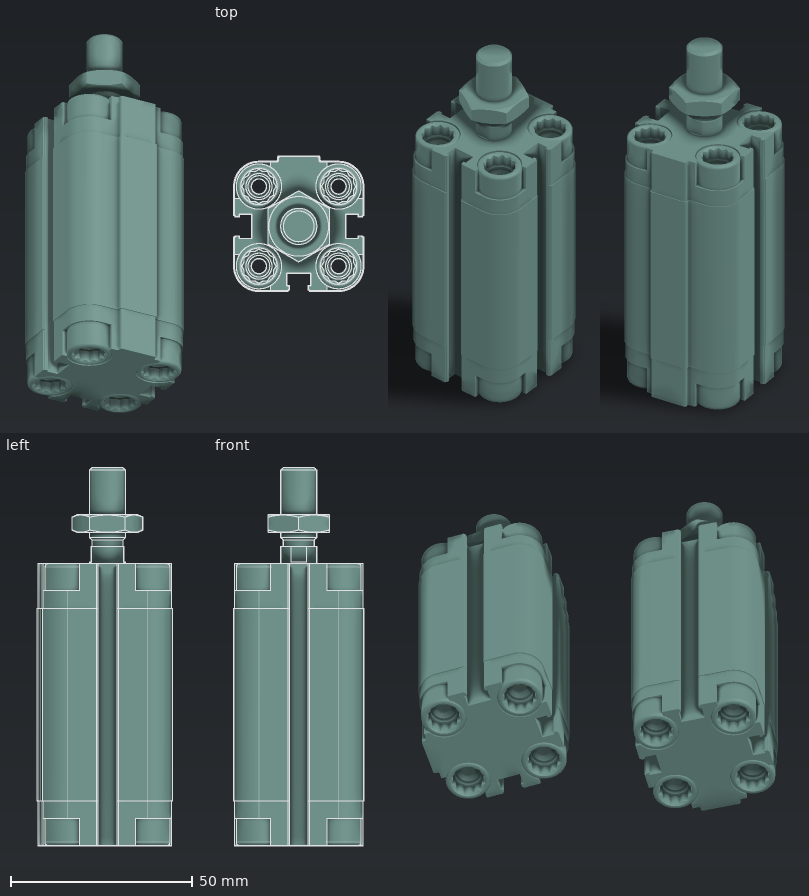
import cadquery as cq
import math


body_width = 36.0
body_height = 78.0
total_height = 104.5
cap_height = 12.4
cap_inset = 0.25

screw_offset = 11.0
collar_diameter = 12.5
collar_round = 1.0
collar_pocket_edge = 7.75
collar_pocket_depth = 7.5
socket_point_diameter = 9.45
socket_points = 12
socket_mouth_diameter = 10.0
socket_mouth_depth = 0.8
socket_depth = 3.6
socket_bore_diameter = 7.2
socket_bore_depth = 1.0
screw_cone_diameter = 6.0
screw_hole_diameter = 4.13

slot_mouth_width = 5.2
slot_inner_width = 6.6
slot_lip = 1.6
slot_depth = 5.0
slot_mouth_round = 0.4

ridge_width = 11.7
ridge_height = 1.5
ridge_round = 0.5

rod_diameter = 10.0
rod_tip_chamfer = 0.75
thread_length = 20.0
neck_diameter = 8.65
neck_length = 1.8
flats_width = 9.0
flats_clearance = 0.35

nut_width = 17.0
nut_height = 5.0
nut_tip_distance = 13.0
nut_chamfer_diameter = 16.5
nut_chamfer_angle = 25.0

half_width = body_width / 2
corner_radius = half_width - screw_offset
screw_places = [(x, y) for x in (-screw_offset, screw_offset) for y in (-screw_offset, screw_offset)]


def ridge(surface, half_ridge, height):
    """Ridge on a +Y face, with rounded top corners and hollow rounds at its foot."""
    r = ridge_round
    top = surface + ridge_height
    return (
        cq.Workplane("XY")
        .moveTo(-half_ridge - r, surface)
        .radiusArc((-half_ridge, surface + r), -r)
        .lineTo(-half_ridge, top - r)
        .radiusArc((-half_ridge + r, top), r)
        .lineTo(half_ridge - r, top)
        .radiusArc((half_ridge, top - r), r)
        .lineTo(half_ridge, surface + r)
        .radiusArc((half_ridge + r, surface), -r)
        .lineTo(half_ridge + r, surface - r)
        .lineTo(-half_ridge - r, surface - r)
        .close()
        .extrude(height)
    )


def t_slot(surface, height):
    """Cutter for a T-slot in a -Y face, with a rounded mouth."""
    r = slot_mouth_round
    half_mouth = slot_mouth_width / 2
    half_inner = slot_inner_width / 2
    lip_y = slot_lip - half_width
    floor_y = slot_depth - half_width
    return (
        cq.Workplane("XY")
        .moveTo(-half_mouth - r, -surface)
        .radiusArc((-half_mouth, r - surface), r)
        .lineTo(-half_mouth, lip_y)
        .lineTo(-half_inner, lip_y)
        .lineTo(-half_inner, floor_y)
        .lineTo(half_inner, floor_y)
        .lineTo(half_inner, lip_y)
        .lineTo(half_mouth, lip_y)
        .lineTo(half_mouth, r - surface)
        .radiusArc((half_mouth + r, -surface), r)
        .close()
        .extrude(height)
    )


def profile_section(inset, height):
    """Length of the housing profile, shrunk by an inset all round."""
    surface = half_width - inset
    section = (
        cq.Workplane("XY")
        .rect(2 * surface, 2 * surface)
        .extrude(height)
        .edges("|Z")
        .fillet(corner_radius - inset)
        .union(ridge(surface, ridge_width / 2 - inset, height))
    )
    for angle in (0, 90, -90):
        section = section.cut(t_slot(surface, height).rotate((0, 0, 0), (0, 0, 1), angle))
    return section


def collar_blank():
    """Round screw collar whose upper outer edge is rounded, standing on Z = 0."""
    return (
        cq.Workplane("XY")
        .circle(collar_diameter / 2)
        .extrude(collar_pocket_depth)
        .faces(">Z")
        .edges()
        .fillet(collar_round)
    )


def corner_relief():
    """Cutter that bares one collar: the outer corner block plus the full collar round."""
    inner_edge = collar_pocket_edge - screw_offset
    corner_size = half_width - collar_pocket_edge
    corner = (
        cq.Workplane("XY")
        .rect(corner_size, corner_size, centered=False)
        .extrude(collar_pocket_depth)
        .translate((inner_edge, inner_edge, 0))
    )
    return (
        cq.Workplane("XY")
        .circle(collar_diameter / 2)
        .extrude(collar_pocket_depth)
        .union(corner)
        .cut(collar_blank())
    )


def star_points():
    """Corners of a double-hexagon socket, alternating outer points and inner notches."""
    outer = socket_point_diameter / 2
    half_step = math.pi / socket_points
    inner = outer * math.cos(2 * half_step) / math.cos(half_step)
    points = []
    for i in range(2 * socket_points):
        radius = inner if i % 2 else outer
        points.append((radius * math.cos(i * half_step), radius * math.sin(i * half_step)))
    return points


def screw_socket():
    """Cutter for a screw's drive socket, with its mouth at Z = 0."""
    star = cq.Workplane("XY").polyline(star_points()).close().extrude(-socket_depth)
    mouth_radius = socket_mouth_diameter / 2
    bore_radius = socket_bore_diameter / 2
    cone_radius = screw_cone_diameter / 2
    hole_radius = screw_hole_diameter / 2
    bore_floor = -socket_depth - socket_bore_depth
    turned = (
        cq.Workplane("XZ")
        .moveTo(0, 0)
        .lineTo(mouth_radius, 0)
        .lineTo(mouth_radius - socket_mouth_depth, -socket_mouth_depth)
        .lineTo(bore_radius, -socket_mouth_depth)
        .lineTo(bore_radius, bore_floor)
        .lineTo(cone_radius, bore_floor)
        .lineTo(hole_radius, bore_floor - (cone_radius - hole_radius))
        .lineTo(0, bore_floor - (cone_radius - hole_radius))
        .close()
        .revolve(360, (0, 0), (0, 1))
    )
    return star.union(turned)


def end_cap():
    """End cap with its outer face at the top, standing on Z = 0."""
    cap = profile_section(cap_inset, cap_height)
    relief = corner_relief().translate((screw_offset, screw_offset, cap_height - collar_pocket_depth))
    for i in range(4):
        cap = cap.cut(relief.rotate((0, 0, 0), (0, 0, 1), 90 * i))
    for x, y in screw_places:
        cap = cap.cut(screw_socket().translate((x, y, cap_height)))
    return cap


def make_housing():
    """Barrel and both end caps, bored for the screws and the rod."""
    barrel = profile_section(0, body_height - 2 * cap_height).translate((0, 0, cap_height))
    top_cap = end_cap().translate((0, 0, body_height - cap_height))
    bottom_cap = end_cap().mirror("XY").translate((0, 0, cap_height))
    screw_holes = (
        cq.Workplane("XY").pushPoints(screw_places).circle(screw_hole_diameter / 2).extrude(body_height)
    )
    rod_bore = (
        cq.Workplane("XY")
        .workplane(offset=body_height - cap_height)
        .circle(rod_diameter / 2)
        .extrude(cap_height)
    )
    return barrel.union(top_cap).union(bottom_cap).cut(screw_holes).cut(rod_bore)


def make_rod():
    """Rod seated through the top cap, with a threaded end, a neck and two wrench flats."""
    radius = rod_diameter / 2
    neck_radius = neck_diameter / 2
    neck_step = radius - neck_radius
    thread_bottom = total_height - thread_length
    neck_bottom = thread_bottom - neck_length
    rod_bottom = body_height - cap_height
    rod = (
        cq.Workplane("XZ")
        .moveTo(0, rod_bottom)
        .lineTo(radius, rod_bottom)
        .lineTo(radius, neck_bottom)
        .lineTo(neck_radius, neck_bottom)
        .lineTo(neck_radius, thread_bottom)
        .lineTo(radius, thread_bottom + neck_step)
        .lineTo(radius, total_height - rod_tip_chamfer)
        .lineTo(radius - rod_tip_chamfer, total_height)
        .lineTo(0, total_height)
        .close()
        .revolve(360, (0, 0), (0, 1))
    )
    flats_bottom = body_height + flats_clearance
    flats = (
        cq.Workplane("XY")
        .workplane(offset=flats_bottom)
        .rect(2 * rod_diameter, 2 * rod_diameter)
        .rect(2 * rod_diameter, flats_width)
        .extrude(neck_bottom - flats_bottom)
    )
    return rod.cut(flats)


def make_nut():
    """Hexagon nut on the thread, with corners on the Y axis and both faces chamfered."""
    corner_diameter = nut_width / math.cos(math.pi / 6)
    face_radius = nut_chamfer_diameter / 2
    cone_run = corner_diameter / 2 - face_radius
    cone_drop = cone_run * math.tan(math.radians(nut_chamfer_angle))
    chamfer_envelope = (
        cq.Workplane("XZ")
        .moveTo(0, 0)
        .lineTo(face_radius, 0)
        .lineTo(face_radius + cone_run, cone_drop)
        .lineTo(face_radius + cone_run, nut_height - cone_drop)
        .lineTo(face_radius, nut_height)
        .lineTo(0, nut_height)
        .close()
        .revolve(360, (0, 0), (0, 1))
    )
    return (
        cq.Workplane("XY")
        .polygon(6, corner_diameter)
        .extrude(nut_height)
        .rotate((0, 0, 0), (0, 0, 1), 90)
        .intersect(chamfer_envelope)
        .cut(cq.Workplane("XY").circle(rod_diameter / 2).extrude(nut_height))
        .translate((0, 0, total_height - nut_tip_distance - nut_height))
    )


housing = make_housing()
rod = make_rod()
nut = make_nut()

result = cq.Compound.makeCompound([housing.val(), rod.val(), nut.val()])